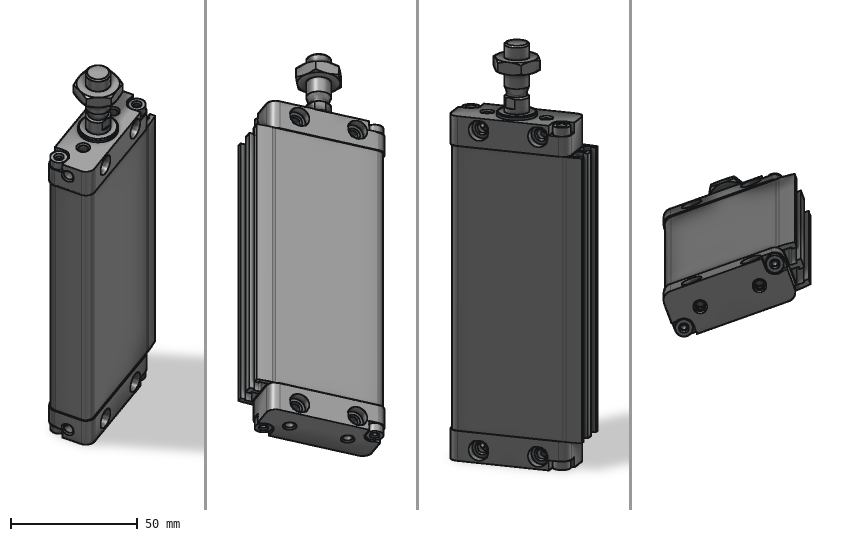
import cadquery as cq
import math

overall_height = 172.0
body_height = 142.2
cap_height = 12.4

cap_width = 20.0
cap_front_y = -25.5
cap_back_y = 25.1
cap_corner_radius = 4.0
cap_length = cap_back_y - cap_front_y
cap_center_y = (cap_front_y + cap_back_y) / 2

port_diameter = 4.1
port_mouth_diameter = 5.5
port_pitch = 25.0
port_inset = 5.2
end_port_depth = 8.6
cross_counterbore_diameter = 8.3
cross_counterbore_depth = 4.0

screw_head_diameter = 7.0
screw_head_inset = 0.5
screw_x = 6.0
screw_pitch_y = 42.7
screw_y = cap_center_y + screw_pitch_y / 2
socket_diameter = 4.0
socket_bore_diameter = 2.5
socket_bore_depth = 2.0
notch_diameter = 8.0
notch_depth = 4.1
notch_half_width = 3.6

collar_diameter = 16.0
collar_height = 1.5
collar_chamfer = 0.5

barrel_width = 19.0
barrel_front_y = -25.0
barrel_corner_radius = 3.6
barrel_length = body_height - 2 * cap_height

rail_top_y = 30.6
slot_floor_y = 25.5
rail_foot_y = 24.0
wall_top_y = 22.9
lip_height = 2.0
side_rail_outer_x = 9.1
side_rail_lip_x = 6.9
side_rail_inner_x = 7.5
side_rail_bulge = 0.2
middle_rail_head_width = 3.8
middle_rail_stem_width = 1.7
middle_rail_root_fillet = 0.7

rod_diameter = 10.0
rod_tip_chamfer = 0.7
thread_bottom_z = 154.3
thread_runout_sag = 0.09
neck_top_z = 151.5
neck_diameter = 8.0
neck_bottom_z = 150.5
shank_top_z = 149.8
flat_bottom_z = 145.9
flat_spacing = 9.0
flat_angle = -16
rod_bottom_z = body_height + collar_height

nut_across_flats = 17.0
nut_height = 5.2
nut_bottom_z = 161.0
nut_chamfer_angle = 30

port_ys = (-port_pitch / 2, port_pitch / 2)


def drilled_port(origin, direction, depth):
    """Blind port bore with a countersunk mouth, running from origin along direction."""
    mouth = (port_mouth_diameter - port_diameter) / 2
    plane = cq.Plane(origin=origin, normal=direction)
    bore = cq.Workplane(plane).circle(port_diameter / 2).extrude(depth)
    countersink = cq.Workplane(plane).add(
        cq.Solid.makeCone(port_mouth_diameter / 2, port_diameter / 2, mouth,
                          cq.Vector(*origin), cq.Vector(*direction))
    )
    return bore.union(countersink)


def cross_hole(y, z):
    """Hole through the cap along X, counterbored and countersunk from both sides."""
    cutter = cq.Workplane("XY")
    for sign in (-1, 1):
        inward = (-sign, 0, 0)
        mouth = (sign * cap_width / 2, y, z)
        seat_x = cap_width / 2 - cross_counterbore_depth
        counterbore = (
            cq.Workplane(cq.Plane(origin=mouth, normal=inward))
            .circle(cross_counterbore_diameter / 2)
            .extrude(cross_counterbore_depth)
        )
        half_bore = drilled_port((sign * seat_x, y, z), inward, seat_x)
        cutter = cutter.add(counterbore.union(half_bore))
    return cutter.combine()


def screw_notch():
    """Corner recess around the +X +Y screw, open to both outer faces of the corner."""
    radius = notch_diameter / 2
    reach = notch_diameter
    floor = cq.Workplane("XY", origin=(screw_x, screw_y, cap_height - notch_depth))
    round_part = floor.circle(radius).extrude(notch_depth)
    back_part = floor.rect(notch_half_width + reach, reach, centered=False).extrude(notch_depth)
    back_part = back_part.translate((-notch_half_width, 0, 0))
    side_part = floor.rect(reach, radius + reach, centered=False).extrude(notch_depth)
    side_part = side_part.translate((0, -radius, 0))
    return round_part.union(back_part).union(side_part)


def screw_head():
    """Screw head standing in the +X +Y notch, with a countersunk blind socket in its top."""
    socket_radius = socket_diameter / 2
    bore_radius = socket_bore_diameter / 2
    countersink_depth = socket_radius - bore_radius
    head_height = notch_depth - screw_head_inset
    head = cq.Workplane("XY").circle(screw_head_diameter / 2).extrude(head_height)
    socket = (
        cq.Workplane("XZ")
        .moveTo(0, head_height)
        .lineTo(socket_radius, head_height)
        .lineTo(bore_radius, head_height - countersink_depth)
        .lineTo(bore_radius, head_height - socket_bore_depth)
        .lineTo(0, head_height - socket_bore_depth - bore_radius)
        .close()
        .revolve(360, (0, 0, 0), (0, 1, 0))
    )
    return head.cut(socket).translate((screw_x, screw_y, cap_height - notch_depth))


def half_turn(part):
    """The same part turned half a turn about the vertical axis through the cap center."""
    return part.rotate((0, cap_center_y, 0), (0, cap_center_y, 1), 180)


def make_cap():
    """Cap block with its inner face on Z = 0 and its outer face at cap_height."""
    cap = (
        cq.Workplane("XY", origin=(0, cap_center_y, 0))
        .rect(cap_width, cap_length)
        .extrude(cap_height)
        .edges("|Z").fillet(cap_corner_radius)
    )
    for notch in (screw_notch(), half_turn(screw_notch())):
        cap = cap.cut(notch)
    for head in (screw_head(), half_turn(screw_head())):
        cap = cap.union(head)

    port_z = cap_height - port_inset
    for y in port_ys:
        cap = cap.cut(cross_hole(y, port_z))
        cap = cap.cut(drilled_port((0, y, cap_height), (0, 0, -1), end_port_depth))
    front_port_depth = port_ys[0] - cap_front_y
    return cap.cut(drilled_port((0, cap_front_y, port_z), (0, 1, 0), front_port_depth))


def make_lower_cap():
    """Cap turned over so that its outer face is on Z = 0."""
    return make_cap().mirror("XY").translate((0, 0, cap_height))


def make_upper_cap():
    """Cap on top of the barrel, with a chamfered collar around the rod."""
    collar = (
        cq.Workplane("XY", origin=(0, 0, cap_height))
        .circle(collar_diameter / 2)
        .extrude(collar_height)
        .faces(">Z").edges().chamfer(collar_chamfer)
    )
    return make_cap().union(collar).translate((0, 0, body_height - cap_height))


def side_rail():
    """Rail along the +X edge, with a lip over the sensor slot."""
    lip_y = rail_top_y - lip_height
    rail_foot_x = barrel_width / 2 + side_rail_bulge
    bend_x = barrel_width / 2
    bend_y = (rail_top_y + rail_foot_y) / 2
    return (
        cq.Workplane("XY")
        .moveTo(side_rail_inner_x, wall_top_y)
        .lineTo(barrel_width / 2, wall_top_y)
        .lineTo(rail_foot_x, rail_foot_y)
        .threePointArc((bend_x, bend_y), (side_rail_outer_x, rail_top_y))
        .lineTo(side_rail_lip_x, rail_top_y)
        .lineTo(side_rail_lip_x, lip_y)
        .lineTo(side_rail_inner_x, lip_y)
        .close()
        .extrude(barrel_length)
    )


def middle_rail():
    """T-shaped rail between the two sensor slots, with rounded roots."""
    rail_height = rail_top_y - slot_floor_y
    stem = (
        cq.Workplane("XY", origin=(0, slot_floor_y + rail_height / 2, 0))
        .rect(middle_rail_stem_width, rail_height)
        .extrude(barrel_length)
    )
    head = (
        cq.Workplane("XY", origin=(0, rail_top_y - lip_height / 2, 0))
        .rect(middle_rail_head_width, lip_height)
        .extrude(barrel_length)
    )
    return stem.union(head)


def make_barrel():
    """Solid barrel with three sensor rails along its back."""
    barrel = (
        cq.Workplane("XY", origin=(0, (barrel_front_y + slot_floor_y) / 2, 0))
        .rect(barrel_width, slot_floor_y - barrel_front_y)
        .extrude(barrel_length)
        .edges("|Z and <Y").fillet(barrel_corner_radius)
    )
    barrel = barrel.union(side_rail()).union(side_rail().mirror("YZ")).union(middle_rail())
    root_box = cq.selectors.BoxSelector(
        (-middle_rail_stem_width, slot_floor_y - middle_rail_root_fillet, 0),
        (middle_rail_stem_width, slot_floor_y + middle_rail_root_fillet, barrel_length),
    )
    barrel = barrel.edges("|Z").edges(root_box).fillet(middle_rail_root_fillet)
    return barrel.translate((0, 0, cap_height))


def make_rod():
    """Rod end: shank with two wrench flats, relieved neck and threaded tip."""
    rod_radius = rod_diameter / 2
    neck_radius = neck_diameter / 2
    runout_mid_radius = (neck_radius + rod_radius) / 2 - thread_runout_sag
    runout_mid_z = (neck_top_z + thread_bottom_z) / 2
    rod = (
        cq.Workplane("XZ")
        .moveTo(0, rod_bottom_z)
        .lineTo(rod_radius, rod_bottom_z)
        .lineTo(rod_radius, shank_top_z)
        .lineTo(neck_radius, neck_bottom_z)
        .lineTo(neck_radius, neck_top_z)
        .threePointArc((runout_mid_radius, runout_mid_z), (rod_radius, thread_bottom_z))
        .lineTo(rod_radius, overall_height - rod_tip_chamfer)
        .lineTo(rod_radius - rod_tip_chamfer, overall_height)
        .lineTo(0, overall_height)
        .close()
        .revolve(360, (0, 0, 0), (0, 1, 0))
    )
    flat_height = neck_bottom_z - flat_bottom_z
    flats = (
        cq.Workplane("XY", origin=(0, 0, flat_bottom_z))
        .circle(rod_diameter)
        .extrude(flat_height)
        .cut(
            cq.Workplane("XY", origin=(0, 0, flat_bottom_z))
            .rect(flat_spacing, 2 * rod_diameter)
            .extrude(flat_height)
        )
        .rotate((0, 0, 0), (0, 0, 1), flat_angle)
    )
    return rod.cut(flats)


def make_nut():
    """Hexagonal lock nut with flats facing X and chamfered corners on both faces."""
    corner_diameter = nut_across_flats / math.cos(math.pi / 6)
    drop = (corner_diameter - nut_across_flats) / 2 * math.tan(math.radians(nut_chamfer_angle))
    hexagon = (
        cq.Workplane("XY")
        .polygon(6, corner_diameter)
        .extrude(nut_height)
        .rotate((0, 0, 0), (0, 0, 1), 90)
    )
    corner_rounder = (
        cq.Workplane("XZ")
        .moveTo(0, 0)
        .lineTo(nut_across_flats / 2, 0)
        .lineTo(corner_diameter / 2, drop)
        .lineTo(corner_diameter / 2, nut_height - drop)
        .lineTo(nut_across_flats / 2, nut_height)
        .lineTo(0, nut_height)
        .close()
        .revolve(360, (0, 0, 0), (0, 1, 0))
    )
    bore = cq.Workplane("XY").circle(rod_diameter / 2).extrude(nut_height)
    return hexagon.intersect(corner_rounder).cut(bore).translate((0, 0, nut_bottom_z))


lower_cap = make_lower_cap()
barrel = make_barrel()
upper_cap = make_upper_cap()
rod = make_rod()
nut = make_nut()

result = cq.Compound.makeCompound(
    [lower_cap.val(), barrel.val(), upper_cap.val(), rod.val(), nut.val()]
)